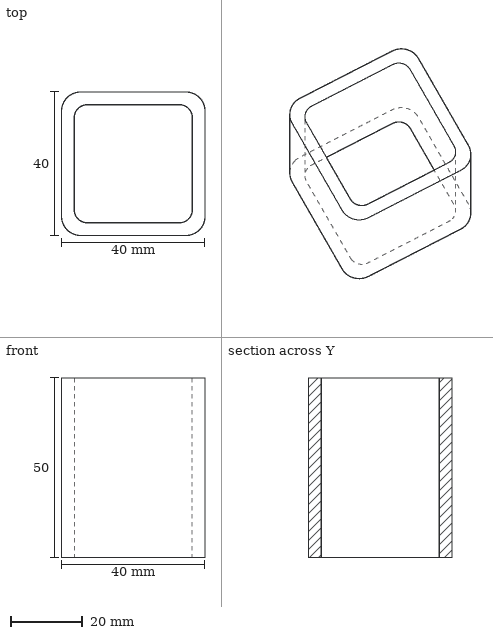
import cadquery as cq

side = 40.0
height = 50.0
wall = 3.6
outer_radius = 1.5 * wall
inner_radius = wall


def rounded_bar(width, corner_radius):
    """Square bar of full height with rounded upright edges."""
    bar = cq.Workplane("XY").rect(width, width).extrude(height)
    return bar.edges("|Z").fillet(corner_radius)


outer_body = rounded_bar(side, outer_radius)
bore = rounded_bar(side - 2 * wall, inner_radius)

result = outer_body.cut(bore)